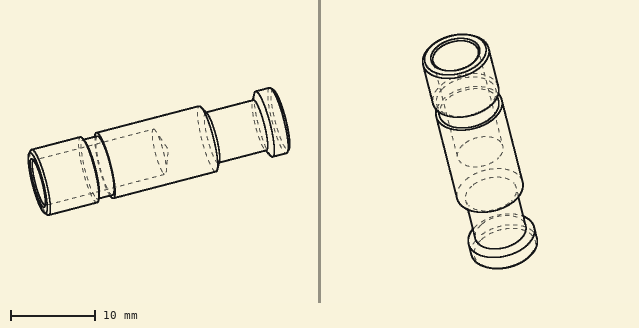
import cadquery as cq
import math

length = 30.0
outer_radius = 4.0
end_chamfer = 0.3

groove_radius = 3.6
groove_start = 6.3
groove_end = 8.3
groove_shoulder = 0.19

neck_radius = 3.075
neck_start = 21.0
neck_end = 28.0

neck_shoulder_angle = 30.0

bore_radius = 2.75
bore_depth = 15.0
bore_chamfer = 0.2
drill_point_angle = 136.0


def revolve_about_y(points):
    """Solid of revolution about Y from a closed (Y, radius) outline."""
    return cq.Workplane("YZ").polyline(points).close().revolve(360, (0, 0, 0), (1, 0, 0))


def make_body():
    """Stepped pin: chamfered ends, one groove and one neck."""
    end_radius = outer_radius - end_chamfer
    neck_shoulder = (outer_radius - neck_radius) * math.tan(math.radians(neck_shoulder_angle))
    return revolve_about_y([
        (0, 0),
        (0, end_radius),
        (end_chamfer, outer_radius),
        (groove_start, outer_radius),
        (groove_start + groove_shoulder, groove_radius),
        (groove_end, groove_radius),
        (groove_end, outer_radius),
        (neck_start, outer_radius),
        (neck_start + neck_shoulder, neck_radius),
        (neck_end - neck_shoulder, neck_radius),
        (neck_end, outer_radius),
        (length - end_chamfer, outer_radius),
        (length, end_radius),
        (length, 0),
    ])


def make_bore():
    """Blind bore with a chamfered mouth and a conical drill-point bottom."""
    tip_length = bore_radius / math.tan(math.radians(drill_point_angle / 2))
    return revolve_about_y([
        (0, 0),
        (0, bore_radius + bore_chamfer),
        (bore_chamfer, bore_radius),
        (bore_depth, bore_radius),
        (bore_depth + tip_length, 0),
    ])


result = make_body().cut(make_bore())